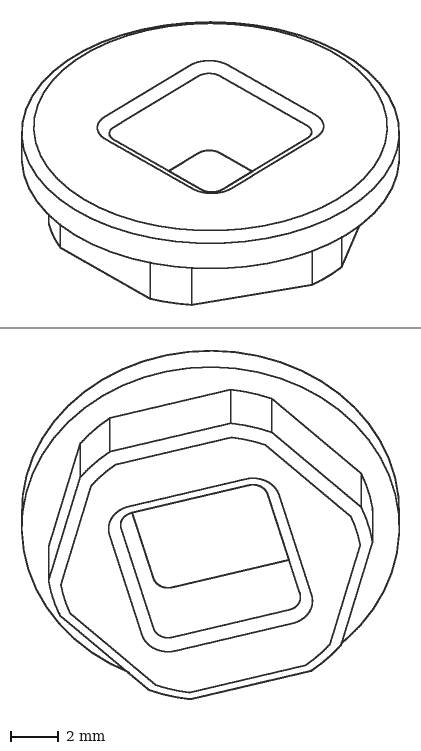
import cadquery as cq
import math

total_height = 4.59
flange_diameter = 15.88
flange_thickness = 1.6
boss_height = total_height - flange_thickness

boss_across_flats = 12.7
boss_corner_diameter = 13.75

hole_side = 6.38
hole_corner_radius = 0.64

chamfer_width = 0.51
chamfer_angle = 30.0
chamfer_height = chamfer_width * math.tan(math.radians(chamfer_angle))


def make_flange():
    """Round disc on top of the boss, with a chamfered upper rim."""
    disc = (
        cq.Workplane("XY")
        .workplane(offset=boss_height)
        .circle(flange_diameter / 2)
        .extrude(flange_thickness)
    )
    return disc.faces(">Z").edges().chamfer(chamfer_height, chamfer_width)


def boss_prism(bottom, height, inset=0.0, taper=0.0):
    """Round-cornered hexagonal prism with flats facing +Y and -Y."""
    across_corners = (boss_across_flats - 2 * inset) / math.cos(math.radians(30))
    corner_radius = boss_corner_diameter / 2 - inset
    plane = cq.Workplane("XY").workplane(offset=bottom)
    hexagon = plane.polygon(6, across_corners).extrude(height, taper=taper)
    cylinder = plane.circle(corner_radius).extrude(height, taper=taper)
    return hexagon.intersect(cylinder)


def make_boss():
    """Hexagonal boss, widening through a sloped band at its lower edge."""
    outward_taper = chamfer_angle - 90
    lower_band = boss_prism(0, chamfer_height, chamfer_width, outward_taper)
    upper_body = boss_prism(chamfer_height, boss_height - chamfer_height)
    return upper_body.union(lower_band)


def make_hole():
    """Square hole with rounded corners, widening at the top and bottom faces."""
    shaft = (
        cq.Workplane("XY")
        .rect(hole_side, hole_side)
        .extrude(total_height)
        .edges("|Z")
        .fillet(hole_corner_radius)
    )
    mouth_side = hole_side + 2 * chamfer_width
    mouth_profile = cq.Sketch().rect(mouth_side, mouth_side).vertices()
    mouth_profile = mouth_profile.fillet(hole_corner_radius + chamfer_width)
    mouth = (
        cq.Workplane("XY")
        .placeSketch(mouth_profile)
        .extrude(chamfer_height, taper=90 - chamfer_angle)
    )
    top_mouth = mouth.mirror("XY").translate((0, 0, total_height))
    return shaft.union(mouth).union(top_mouth)



result = make_flange().union(make_boss()).cut(make_hole())